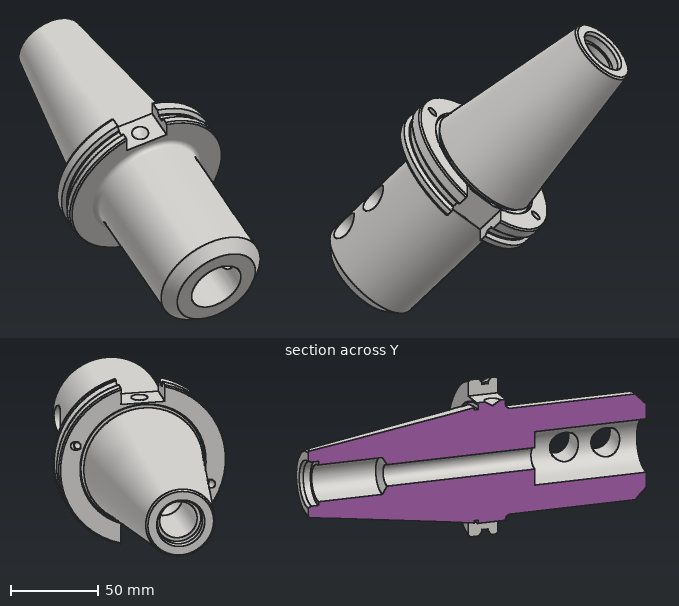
import cadquery as cq
import math


total_length = 206.5
taper_length = 101.6
flange_start = 102.7
flange_end = 120.7

taper_small_diameter = 40.5
taper_large_diameter = 69.8
taper_edge_chamfer = 1.0
neck_diameter = 67.0

flange_diameter = 98.1
flange_chamfer_run = 1.0
flange_chamfer_drop = 0.8
relief_floor_diameter = 72.3
relief_mouth_diameter = 73.8
relief_depth = 1.0
groove_diameter = 91.3
groove_centre = 112.8
groove_floor_width = 3.7
groove_side_run = 1.7
groove_wall_step = 1.0

body_diameter = 64.0
body_fillet = 3.0
nose_chamfer = 6.8

slot_width = 25.6
upper_slot_height = 37.5
lower_slot_height = 35.3

dimple_diameter = 9.5
dimple_x = 112.5
dimple_tip_angle = 118.0

pilot_mouth_diameter = 28.0
pilot_diameter = 26.2
pilot_mouth_depth = 2.0
pilot_depth = 6.5
stud_bore_diameter = 22.0
stud_bore_depth = 45.5
stud_cone_angle = 118.0
through_diameter = 12.5

shank_bore_diameter = 31.8
shank_bore_depth = 68.2
screw_hole_diameter = 17.4
screw_setbacks = (19.2, 44.5)

coolant_angles = (20.0, 200.0)
coolant_entry_radius = 42.0
coolant_slant = 35.0
coolant_mouth_diameter = 5.0
coolant_mouth_depth = 3.3
coolant_diameter = 4.1


def revolve_about_x(points):
    """Revolve a closed (x, radius) outline about the X axis."""
    return cq.Workplane("XY").polyline(points).close().revolve(360, (0, 0, 0), (1, 0, 0))


def make_body():
    small_radius = taper_small_diameter / 2
    large_radius = taper_large_diameter / 2
    neck_radius = neck_diameter / 2
    relief_end = flange_start + relief_depth
    flange_radius = flange_diameter / 2
    groove_radius = groove_diameter / 2
    body_radius = body_diameter / 2
    floor_start = groove_centre - groove_floor_width / 2
    floor_end = groove_centre + groove_floor_width / 2
    wall_radius = groove_radius + groove_wall_step
    outline = (
        cq.Workplane("XY")
        .moveTo(0, 0)
        .lineTo(0, small_radius - taper_edge_chamfer)
        .lineTo(taper_edge_chamfer, small_radius)
        .lineTo(taper_length, large_radius)
        .lineTo(taper_length, neck_radius)
        .lineTo(relief_end, neck_radius)
        .lineTo(relief_end, relief_floor_diameter / 2)
        .lineTo(flange_start, relief_mouth_diameter / 2)
        .lineTo(flange_start, flange_radius - flange_chamfer_drop)
        .lineTo(flange_start + flange_chamfer_run, flange_radius)
        .lineTo(floor_start - groove_side_run, flange_radius)
        .lineTo(floor_start, wall_radius)
        .lineTo(floor_start, groove_radius)
        .lineTo(floor_end, groove_radius)
        .lineTo(floor_end, wall_radius)
        .lineTo(floor_end + groove_side_run, flange_radius)
        .lineTo(flange_end - flange_chamfer_run, flange_radius)
        .lineTo(flange_end, flange_radius - flange_chamfer_drop)
        .lineTo(flange_end, body_radius + body_fillet)
        .radiusArc((flange_end + body_fillet, body_radius), -body_fillet)
        .lineTo(total_length - nose_chamfer, body_radius)
        .lineTo(total_length, body_radius - nose_chamfer)
        .lineTo(total_length, 0)
        .close()
    )
    return outline.revolve(360, (0, 0, 0), (1, 0, 0))


def make_bores():
    stud_radius = stud_bore_diameter / 2
    through_radius = through_diameter / 2
    shank_radius = shank_bore_diameter / 2
    cone_length = (stud_radius - through_radius) / math.tan(math.radians(stud_cone_angle / 2))
    shank_bore_start = total_length - shank_bore_depth
    return revolve_about_x([
        (0, 0),
        (0, pilot_mouth_diameter / 2),
        (pilot_mouth_depth, pilot_diameter / 2),
        (pilot_depth, pilot_diameter / 2),
        (pilot_depth, stud_radius),
        (stud_bore_depth, stud_radius),
        (stud_bore_depth + cone_length, through_radius),
        (shank_bore_start, through_radius),
        (shank_bore_start, shank_radius),
        (total_length, shank_radius),
        (total_length, 0),
    ])


def make_drive_slot(floor_height, side):
    """Slot block from its floor out to the flange rim; side is +1 for +Z and -1 for -Z."""
    width_x = flange_end - flange_start
    depth = flange_diameter / 2 - floor_height
    centre = ((flange_start + flange_end) / 2, 0, side * (floor_height + depth / 2))
    return cq.Workplane("XY").box(width_x, slot_width, depth).translate(centre)


def make_dimple():
    radius = dimple_diameter / 2
    depth = radius / math.tan(math.radians(dimple_tip_angle / 2))
    tip_down = cq.Vector(0, 0, -1)
    return cq.Workplane(cq.Solid.makeCone(
        radius, 0, depth, cq.Vector(dimple_x, 0, upper_slot_height), tip_down
    ))


def make_screw_hole(setback):
    return cq.Workplane(cq.Solid.makeCylinder(
        screw_hole_diameter / 2, body_diameter / 2,
        cq.Vector(total_length - setback, 0, 0), cq.Vector(0, 1, 0)
    ))


def make_coolant_hole(angle):
    """Stepped hole, built at the +Y side and then turned about the X axis."""
    slant = math.radians(coolant_slant)
    inward = cq.Vector(math.cos(slant), -math.sin(slant), 0)
    entry = cq.Vector(flange_start, coolant_entry_radius, 0)
    run_out = coolant_mouth_diameter
    start = entry - inward * run_out
    axial_reach = total_length - shank_bore_depth - flange_start
    bore_reach = axial_reach / math.cos(slant) + coolant_diameter
    mouth = cq.Solid.makeCylinder(
        coolant_mouth_diameter / 2, run_out + coolant_mouth_depth, start, inward
    )
    passage = cq.Solid.makeCylinder(coolant_diameter / 2, bore_reach, entry, inward)
    hole = cq.Workplane(mouth).union(cq.Workplane(passage))
    return hole.rotate((0, 0, 0), (1, 0, 0), angle)


result = make_body().cut(make_bores())
result = result.cut(make_drive_slot(upper_slot_height, 1))
result = result.cut(make_drive_slot(lower_slot_height, -1))
result = result.cut(make_dimple())
for screw_setback in screw_setbacks:
    result = result.cut(make_screw_hole(screw_setback))
for coolant_angle in coolant_angles:
    result = result.cut(make_coolant_hole(coolant_angle))